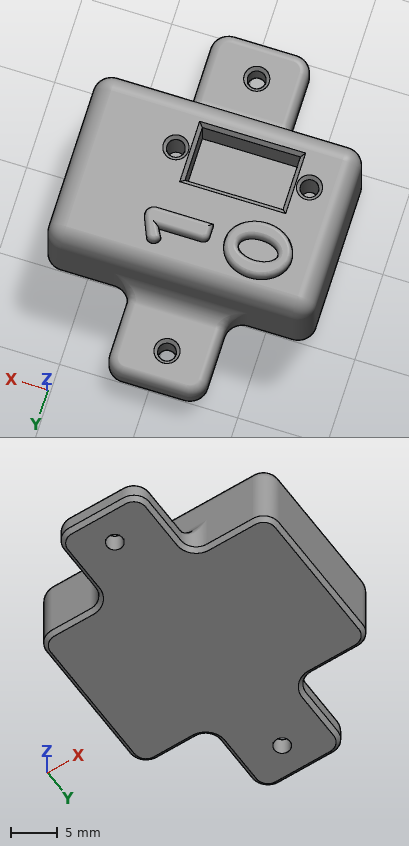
import cadquery as cq

BODY_LENGTH = 30.0
BODY_WIDTH = 20.0
BODY_HEIGHT = 10.0
BODY_ROUND = 2.0
BASE_CHAMFER = 0.5

OVERALL_WIDTH = 40.0
TAB_WIDTH = 11.0
TAB_CENTER_X = -0.5
TAB_THICKNESS = 3.0
TAB_CORNER_RADIUS = 2.0
TAB_TOP_ROUND = 1.0
TAB_ROOT_RADIUS = 2.0
TAB_HOLE_X = -0.8
TAB_HOLE_Y = 16.0

POCKET_LENGTH = 11.0
POCKET_WIDTH = 6.2
POCKET_DEPTH = 4.5
POCKET_CHAMFER = 0.45
POCKET_X = -3.0
POCKET_Y = -4.0
SCREW_SPACING = 15.0
SCREW_HOLE_DEPTH = 5.0

HOLE_DIAMETER = 2.0
HOLE_CHAMFER = 0.4

MARK_HEIGHT = 1.0
MARK_ROUND = 0.5
RING_X = -7.4
RING_Y = 4.47
RING_OUTER = (7.5, 6.25)
RING_INNER = (4.4, 2.5)
BAR_LEFT = -2.0
BAR_BOTTOM = 3.2
BAR_TOP = 5.3
BAR_CORNER_RADIUS = 0.7
HOOK_INNER_X = 3.5
HOOK_TIP_START = (2.95, 6.3)
HOOK_TIP_MIDDLE = (3.5, 7.0)
HOOK_TIP_END = (4.4, 6.75)
HOOK_SIDE_END = (5.4, 4.4)
HOOK_BEND_MIDDLE = (5.1, 3.5)
HOOK_BEND_END = (4.4, BAR_BOTTOM)


def make_body():
    """Block with rounded upright edges and a rounded top rim."""
    block = cq.Workplane("XY").box(BODY_LENGTH, BODY_WIDTH, BODY_HEIGHT, centered=(True, True, False))
    return block.edges("|Z").fillet(BODY_ROUND).faces(">Z").edges().fillet(BODY_ROUND)


def make_tab():
    """Tab on the +Y side, flaring sideways and upwards where it meets the body wall."""
    wall_y = BODY_WIDTH / 2
    end_y = OVERALL_WIDTH / 2
    root_y = wall_y + TAB_ROOT_RADIUS
    left = TAB_CENTER_X - TAB_WIDTH / 2
    right = TAB_CENTER_X + TAB_WIDTH / 2
    flare_left = left - TAB_ROOT_RADIUS
    flare_right = right + TAB_ROOT_RADIUS
    flare_top = TAB_THICKNESS + TAB_ROOT_RADIUS

    plan = (
        cq.Workplane("XY")
        .moveTo(flare_left, wall_y)
        .radiusArc((left, root_y), -TAB_ROOT_RADIUS)
        .lineTo(left, end_y - TAB_CORNER_RADIUS)
        .radiusArc((left + TAB_CORNER_RADIUS, end_y), TAB_CORNER_RADIUS)
        .lineTo(right - TAB_CORNER_RADIUS, end_y)
        .radiusArc((right, end_y - TAB_CORNER_RADIUS), TAB_CORNER_RADIUS)
        .lineTo(right, root_y)
        .radiusArc((flare_right, wall_y), -TAB_ROOT_RADIUS)
        .close()
        .extrude(flare_top)
    )
    side = (
        cq.Workplane("YZ", origin=(flare_left, 0, 0))
        .moveTo(wall_y, 0)
        .lineTo(end_y, 0)
        .lineTo(end_y, TAB_THICKNESS)
        .lineTo(root_y, TAB_THICKNESS)
        .radiusArc((wall_y, flare_top), TAB_ROOT_RADIUS)
        .close()
        .extrude(flare_right - flare_left)
    )
    tab = plan.intersect(side)
    above_base = cq.selectors.BoxSelector(
        (flare_left, wall_y + TAB_TOP_ROUND / 2, TAB_THICKNESS - TAB_TOP_ROUND),
        (flare_right, end_y + TAB_TOP_ROUND, flare_top),
    )
    across_root = cq.selectors.BoxSelector(
        (left + TAB_TOP_ROUND, wall_y, 0),
        (right - TAB_TOP_ROUND, root_y + TAB_TOP_ROUND, flare_top),
    )
    rim = cq.selectors.SubtractSelector(above_base, across_root)
    return tab.edges(rim).fillet(TAB_TOP_ROUND)


def make_hole(x, y, top_z, depth):
    """Cutter for a round hole with a chamfered rim at height top_z."""
    bore = cq.Workplane("XY", origin=(x, y, top_z)).circle(HOLE_DIAMETER / 2).extrude(-depth)
    rim_radius = HOLE_DIAMETER / 2 + HOLE_CHAMFER
    rim = cq.Solid.makeCone(
        HOLE_DIAMETER / 2,
        rim_radius,
        HOLE_CHAMFER,
        pnt=cq.Vector(x, y, top_z - HOLE_CHAMFER),
    )
    return bore.union(cq.Workplane(rim))


def make_pocket():
    """Cutter for the rectangular pocket with its chamfered mouth."""
    mouth_length = POCKET_LENGTH + 2 * POCKET_CHAMFER
    mouth_width = POCKET_WIDTH + 2 * POCKET_CHAMFER
    top = cq.Workplane("XY", origin=(POCKET_X, POCKET_Y, BODY_HEIGHT))
    recess = top.rect(POCKET_LENGTH, POCKET_WIDTH).extrude(-POCKET_DEPTH)
    mouth = (
        top.rect(mouth_length, mouth_width)
        .workplane(offset=-POCKET_CHAMFER)
        .rect(POCKET_LENGTH, POCKET_WIDTH)
        .loft(ruled=True)
    )
    return recess.union(mouth)


def make_ring():
    """Raised elliptical ring with rounded upper edges."""
    ring = (
        cq.Workplane("XY", origin=(RING_X, RING_Y, BODY_HEIGHT))
        .ellipse(RING_OUTER[0] / 2, RING_OUTER[1] / 2)
        .ellipse(RING_INNER[0] / 2, RING_INNER[1] / 2)
        .extrude(MARK_HEIGHT)
    )
    return ring.faces(">Z").edges().fillet(MARK_ROUND)


def make_hooked_bar():
    """Raised bar along X whose right end hooks towards +Y, with rounded upper edges."""
    bar = (
        cq.Workplane("XY", origin=(0, 0, BODY_HEIGHT))
        .moveTo(BAR_LEFT, BAR_BOTTOM)
        .lineTo(BAR_LEFT, BAR_TOP - BAR_CORNER_RADIUS)
        .radiusArc((BAR_LEFT + BAR_CORNER_RADIUS, BAR_TOP), BAR_CORNER_RADIUS)
        .lineTo(HOOK_INNER_X, BAR_TOP)
        .lineTo(*HOOK_TIP_START)
        .threePointArc(HOOK_TIP_MIDDLE, HOOK_TIP_END)
        .lineTo(*HOOK_SIDE_END)
        .threePointArc(HOOK_BEND_MIDDLE, HOOK_BEND_END)
        .close()
        .extrude(MARK_HEIGHT)
    )
    return bar.faces(">Z").edges().fillet(MARK_ROUND)


tab = make_tab()
housing = make_body().union(tab).union(tab.mirror("XZ"))
housing = housing.faces("<Z").edges().chamfer(BASE_CHAMFER)
housing = housing.union(make_ring()).union(make_hooked_bar())
housing = housing.cut(make_pocket())
for screw_x in (POCKET_X - SCREW_SPACING / 2, POCKET_X + SCREW_SPACING / 2):
    housing = housing.cut(make_hole(screw_x, POCKET_Y, BODY_HEIGHT, SCREW_HOLE_DEPTH))
for tab_hole_y in (-TAB_HOLE_Y, TAB_HOLE_Y):
    housing = housing.cut(make_hole(TAB_HOLE_X, tab_hole_y, TAB_THICKNESS, TAB_THICKNESS))
result = housing